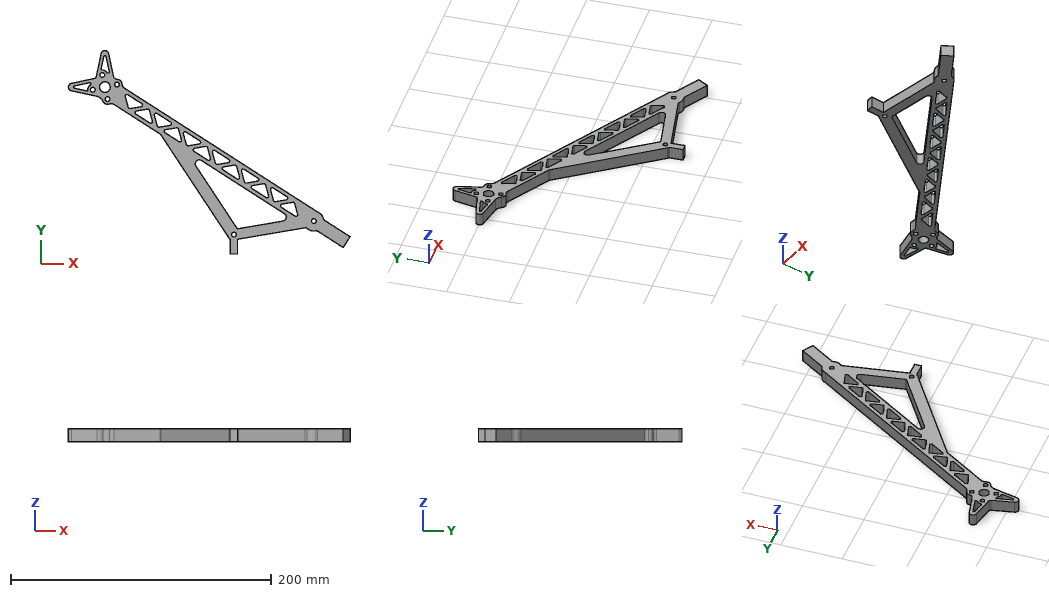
import cadquery as cq
import math

THICKNESS = 10.0

MOTOR_BORE = 8.0
SCREW_HOLE = 3.5
SCREW_RADIUS = 9.5
SCREW_COUNT = 4
SCREW_TURN = 45.0
SCREW_BOSS_RADIUS = 4.0
MOUNT_RADIUS = 8.3

HORN_DIRECTIONS = (90.0, 180.0)
HORN_REACH = 28.15
HORN_TIP_RADIUS = 3.0
HORN_WALL = 2.6
HORN_SLOT_START = 11.0
HORN_SLOT_TIP_RADIUS = 0.8
HORN_SLOT_FILLET = 0.5

BEAM_ANGLE = -32.67
BEAM_HALF_WIDTH = 7.5
TAIL_HALF_WIDTH = 5.0
TAIL_END = 220.62
TAIL_HOLE_DISTANCE = 190.6
TAIL_BOSS_RADIUS = 7.7

TRUSS_COUNT = 12
TRUSS_FIRST = 24.33
TRUSS_STEP = 13.25
TRUSS_RAIL = 3.0
TRUSS_STRUT = 2.85
TRUSS_FILLET = 1.2

LEG_HOLE_X = 99.1
LEG_HOLE_Y = -113.3
LEG_BOTTOM_Y = -128.2
LEG_WIDTH = 5.7
LEG_BOSS_RADIUS = 4.7
DIAGONAL_ANGLE = -56.6
DIAGONAL_HALF_WIDTH = LEG_BOSS_RADIUS
BRACE_HALF_WIDTH = 4.05

HORN_CROTCH_FILLET = 1.5
UPPER_HORN_FILLET = 3.0
LOWER_HORN_FILLET = 6.5
UPPER_HORN_CORNER_ANGLE = 40.0
LOWER_HORN_CORNER_ANGLE = 255.0
BEAM_BOSS_FILLET = 4.0
DIAGONAL_FILLET = 3.0
TAIL_FILLET = 2.0
BRACE_FILLET = 2.0
LEG_FILLET = 1.0
WINDOW_END_FILLET = 3.0
WINDOW_LEG_FILLET = 1.0


def polar(radius, angle):
    """Point at a distance and an angle in degrees from the origin."""
    turn = math.radians(angle)
    return (radius * math.cos(turn), radius * math.sin(turn))


def on_beam(along, across):
    """Point given by its distance along the beam axis and to the left of it."""
    x, y = polar(along, BEAM_ANGLE)
    side_x, side_y = polar(across, BEAM_ANGLE + 90)
    return (x + side_x, y + side_y)


TAIL_HOLE = on_beam(TAIL_HOLE_DISTANCE, 0)
LEG_HOLE = (LEG_HOLE_X, LEG_HOLE_Y)
SCREW_STEP = 360 / SCREW_COUNT
SCREW_HOLES = [
    polar(SCREW_RADIUS, BEAM_ANGLE + SCREW_TURN + SCREW_STEP * i) for i in range(SCREW_COUNT)
]
BEAM_SCREWS = (SCREW_HOLES[0], SCREW_HOLES[-1])
BRACE_ANGLE = math.degrees(math.atan2(TAIL_HOLE[1] - LEG_HOLE_Y, TAIL_HOLE[0] - LEG_HOLE_X))


def prism(points):
    return cq.Workplane("XY").polyline(points).close().extrude(THICKNESS)


def disc(center, radius):
    return cq.Workplane("XY").center(*center).circle(radius).extrude(THICKNESS)


def offset_line(point, angle, distance):
    """Line (point, angle) parallel to the given one, moved to its left."""
    shift_x, shift_y = polar(distance, angle + 90)
    return ((point[0] + shift_x, point[1] + shift_y), angle)


def crossing(line_a, line_b):
    """Point where two lines, each given as (point, angle), cross."""
    (ax, ay), angle_a = line_a
    (bx, by), angle_b = line_b
    dir_ax, dir_ay = polar(1, angle_a)
    dir_bx, dir_by = polar(1, angle_b)
    along_a = ((bx - ax) * dir_by - (by - ay) * dir_bx) / (dir_ax * dir_by - dir_ay * dir_bx)
    return (ax + along_a * dir_ax, ay + along_a * dir_ay)


def round_corner(body, point, radius):
    """Fillet the upright edge nearest to a point."""
    nearest = cq.selectors.NearestToPointSelector((*point, THICKNESS / 2))
    return body.edges("|Z").edges(nearest).fillet(radius)


DIAGONAL_OUTER = offset_line(LEG_HOLE, DIAGONAL_ANGLE, -DIAGONAL_HALF_WIDTH)
DIAGONAL_INNER = offset_line(LEG_HOLE, DIAGONAL_ANGLE, DIAGONAL_HALF_WIDTH)
BRACE_OUTER = offset_line(LEG_HOLE, BRACE_ANGLE, -BRACE_HALF_WIDTH)
BRACE_INNER = offset_line(LEG_HOLE, BRACE_ANGLE, BRACE_HALF_WIDTH)
BEAM_LOWER = offset_line((0, 0), BEAM_ANGLE, -BEAM_HALF_WIDTH)

HORN_TAPER = math.asin((MOUNT_RADIUS - HORN_TIP_RADIUS) / (HORN_REACH - HORN_TIP_RADIUS))


def horn_profile(start, side_radius, tip_radius):
    """Tapered body along +X: sides tangent to a circle at the origin, and a round tip."""
    tip_center = (side_radius - tip_radius) / math.sin(HORN_TAPER)
    tangent_x = tip_center + tip_radius * math.sin(HORN_TAPER)
    tangent_y = tip_radius * math.cos(HORN_TAPER)
    start_y = (side_radius - start * math.sin(HORN_TAPER)) / math.cos(HORN_TAPER)
    return (
        cq.Workplane("XY")
        .moveTo(start, -start_y)
        .lineTo(tangent_x, -tangent_y)
        .threePointArc((tip_center + tip_radius, 0), (tangent_x, tangent_y))
        .lineTo(start, start_y)
        .close()
        .extrude(THICKNESS)
    )


def turned(body, angle):
    return body.rotate((0, 0, 0), (0, 0, 1), angle)


def horn_slot():
    """Slot in a horn along +X, kept clear of the screw that lies beside it."""
    slot = horn_profile(HORN_SLOT_START, MOUNT_RADIUS - HORN_WALL, HORN_SLOT_TIP_RADIUS)
    slot = slot.cut(disc(SCREW_HOLES[0], SCREW_BOSS_RADIUS))
    return slot.edges("|Z and (<X or <Y or >Y)").fillet(HORN_SLOT_FILLET)


def beam():
    main = prism([
        on_beam(0, BEAM_HALF_WIDTH),
        on_beam(TAIL_HOLE_DISTANCE, BEAM_HALF_WIDTH),
        crossing(BEAM_LOWER, (LEG_HOLE, BRACE_ANGLE)),
        on_beam(0, -BEAM_HALF_WIDTH),
    ])
    tail = prism([
        on_beam(TAIL_HOLE_DISTANCE, TAIL_HALF_WIDTH),
        on_beam(TAIL_END, TAIL_HALF_WIDTH),
        on_beam(TAIL_END, -TAIL_HALF_WIDTH),
        on_beam(TAIL_HOLE_DISTANCE, -TAIL_HALF_WIDTH),
    ])
    return main.union(tail).union(disc(TAIL_HOLE, TAIL_BOSS_RADIUS))


def prop():
    """Diagonal, brace and leg, meeting around the leg hole."""
    beam_axis = ((0, 0), BEAM_ANGLE)
    diagonal = prism([
        DIAGONAL_OUTER[0],
        DIAGONAL_INNER[0],
        crossing(DIAGONAL_INNER, beam_axis),
        crossing(DIAGONAL_OUTER, beam_axis),
    ])
    brace = prism([
        BRACE_OUTER[0],
        offset_line(TAIL_HOLE, BRACE_ANGLE, -BRACE_HALF_WIDTH)[0],
        offset_line(TAIL_HOLE, BRACE_ANGLE, BRACE_HALF_WIDTH)[0],
        BRACE_INNER[0],
    ])
    half = LEG_WIDTH / 2
    leg = prism([
        (LEG_HOLE_X - half, LEG_HOLE_Y),
        (LEG_HOLE_X + half, LEG_HOLE_Y),
        (LEG_HOLE_X + half, LEG_BOTTOM_Y),
        (LEG_HOLE_X - half, LEG_BOTTOM_Y),
    ])
    return diagonal.union(brace).union(leg).union(disc(LEG_HOLE, LEG_BOSS_RADIUS))


def mount():
    body = disc((0, 0), MOUNT_RADIUS)
    for direction in HORN_DIRECTIONS:
        body = body.union(turned(horn_profile(0, MOUNT_RADIUS, HORN_TIP_RADIUS), direction))
    for screw in BEAM_SCREWS:
        body = body.union(disc(screw, SCREW_BOSS_RADIUS))
    return body


def truss_window(index):
    """Rounded triangle; every second one stands upside down."""
    flip = 1 if index % 2 == 0 else -1
    center = TRUSS_FIRST + index * TRUSS_STEP
    base = BEAM_HALF_WIDTH - TRUSS_RAIL
    node = BEAM_HALF_WIDTH - TRUSS_RAIL / 2
    strut_angle = math.atan2(2 * node, TRUSS_STEP)
    apex = -node + TRUSS_STRUT / 2 / math.cos(strut_angle)
    half_base = (base - apex) / math.tan(strut_angle)
    window = prism([
        on_beam(center - half_base, flip * base),
        on_beam(center + half_base, flip * base),
        on_beam(center, flip * apex),
    ])
    return window.edges("|Z").fillet(TRUSS_FILLET)


def blend_corners(body):
    """Fillet the inside corners where the members of the outline meet."""
    crotch = MOUNT_RADIUS / (math.cos(HORN_TAPER) + math.sin(HORN_TAPER))
    body = round_corner(body, (-crotch, crotch), HORN_CROTCH_FILLET)

    body = round_corner(body, polar(MOUNT_RADIUS, UPPER_HORN_CORNER_ANGLE), UPPER_HORN_FILLET)
    body = round_corner(body, polar(MOUNT_RADIUS, LOWER_HORN_CORNER_ANGLE), LOWER_HORN_FILLET)

    screw_offset = SCREW_RADIUS * math.sin(math.radians(SCREW_TURN))
    boss_end = screw_offset + SCREW_BOSS_RADIUS
    tail_step = TAIL_HOLE_DISTANCE + math.sqrt(TAIL_BOSS_RADIUS**2 - TAIL_HALF_WIDTH**2)
    for side in (1, -1):
        body = round_corner(body, on_beam(boss_end, side * BEAM_HALF_WIDTH), BEAM_BOSS_FILLET)
        body = round_corner(body, on_beam(tail_step, side * TAIL_HALF_WIDTH), TAIL_FILLET)

    body = round_corner(body, crossing(BEAM_LOWER, DIAGONAL_OUTER), DIAGONAL_FILLET)
    body = round_corner(body, crossing(BEAM_LOWER, DIAGONAL_INNER), WINDOW_END_FILLET)
    body = round_corner(body, crossing(BEAM_LOWER, BRACE_INNER), WINDOW_END_FILLET)
    body = round_corner(body, crossing(DIAGONAL_INNER, BRACE_INNER), WINDOW_LEG_FILLET)

    brace_end = math.sqrt(TAIL_BOSS_RADIUS**2 - BRACE_HALF_WIDTH**2)
    tail_foot_x, tail_foot_y = offset_line(TAIL_HOLE, BRACE_ANGLE, -BRACE_HALF_WIDTH)[0]
    back_x, back_y = polar(-brace_end, BRACE_ANGLE)
    body = round_corner(body, (tail_foot_x + back_x, tail_foot_y + back_y), BRACE_FILLET)

    leg_top = LEG_HOLE_Y - math.sqrt(LEG_BOSS_RADIUS**2 - (LEG_WIDTH / 2)**2)
    return round_corner(body, (LEG_HOLE_X - LEG_WIDTH / 2, leg_top), LEG_FILLET)


def holes():
    cuts = disc((0, 0), MOTOR_BORE / 2)
    for center in (*SCREW_HOLES, TAIL_HOLE, LEG_HOLE):
        cuts = cuts.union(disc(center, SCREW_HOLE / 2))
    return cuts


result = blend_corners(mount().union(beam()).union(prop()))
result = result.cut(holes())
for direction in HORN_DIRECTIONS:
    result = result.cut(turned(horn_slot(), direction))
for index in range(TRUSS_COUNT):
    result = result.cut(truss_window(index))